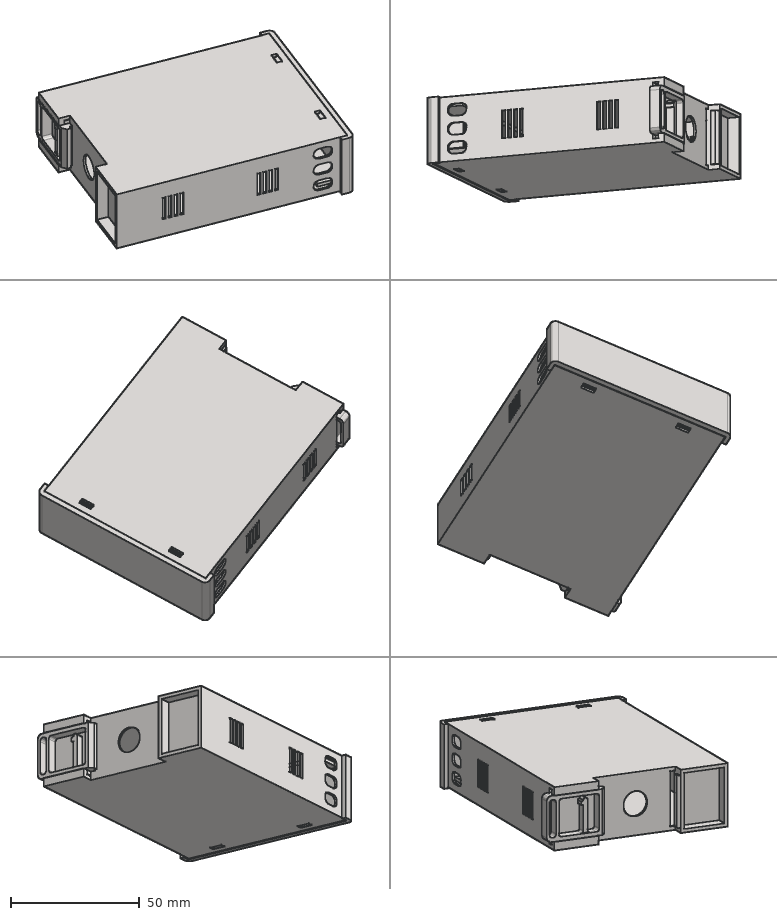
import cadquery as cq
import math


housing_width = 74.9
housing_height = 25.8
overall_length = 100.3
floor = 1.5
side_wall = 0.9
rail_wall = 0.9
half_width = housing_width / 2
mid_z = housing_height / 2

cover_thickness = 2.2
cover_lip_depth = 5.3
cover_lip_thickness = 1.8
cover_overhang = 1.9
cover_drop = 0.4
housing_length = overall_length - cover_thickness

tongue_inset = 4.3
tongue_thickness = 1.5
tongue_end_y = 87.3
snap_window_width = 5.4
snap_window_y = (93.0, 95.2)
snap_window_left_edges = (-23.8, 17.8)
snap_width = 4.7
snap_length = 1.5
snap_step = 0.3
snap_height = 1.3
cover_rib_x = -26.2
cover_rib_thickness = 1.5
cover_rib_end_y = 90.0
cover_rib_height = 10.2

foot_depth = 4.8
left_foot_width = 19.1
right_foot_width = 20.4
left_foot_end_x = left_foot_width - half_width
right_foot_start_x = half_width - right_foot_width
foot_wall = 1.5
rail_hole_diameter = 10.2
rail_hole_x = -0.2

hook_reach = 1.1
hook_y = (0.2, 1.4, 3.4)
hook_z = (1.9, 23.3)
hook_window_width = 2.3
hook_window_height = 22.5

slot_width = 1.4
slot_height = 11.0
slot_pitch = 2.5
slots_per_group = 4
slot_group_centers_y = (64.3, 24.0)
far_slot_shortening = 0.9
opening_length = 8.0
opening_height = 4.8
opening_pitch = 7.5
opening_y = 87.8

clip_front_y = 0.4
clip_height = 18.8
clip_head_reach = 3.1
clip_head_radius = 1.9
clip_flange_y = 2.5
clip_flange_height = 22.1
clip_flange_start = 3.0
channel_flange_height = 22.5
clip_body_end = 21.3
clip_nose_end = 22.6
clip_nose_y = (2.1, 3.8)
grip_slot_width = 2.8
grip_slot_x = -0.5
clip_window_x = (2.2, 19.6)
clip_window_height = 15.4
clip_window_radius = 1.2

arm_x = 14.0
arm_width = 1.9
arm_top_z = 19.4
arm_front_y = 1.3
arm_foot_radius = 0.8
arm_barb_reach = 0.8
arm_barb_z = (16.4, 18.7)


def block(x_range, y_range, z_range):
    """Box between the given limits."""
    size = [high - low for low, high in (x_range, y_range, z_range)]
    corner = (x_range[0], y_range[0], z_range[0])
    return cq.Workplane("XY").box(*size, centered=False).translate(corner)


def centered_z(height):
    """Z limits of a feature centred on the housing mid-height."""
    return (mid_z - height / 2, mid_z + height / 2)


def prism_along_z(points, z_range):
    """Polygon in X and Y, extruded between two heights."""
    bottom, top = z_range
    return cq.Workplane("XY", origin=(0, 0, bottom)).polyline(points).close().extrude(top - bottom)


def make_shell():
    full_x = (-half_width, half_width)
    inner_x = (side_wall - half_width, half_width - side_wall)
    shell = block(full_x, (foot_depth, housing_length), (0, housing_height))
    inner_y = (foot_depth + rail_wall, housing_length)
    cavity = block(inner_x, inner_y, (floor, housing_height - floor))
    return shell.cut(cavity)


def make_left_foot():
    foot_x = (-half_width, left_foot_end_x)
    foot = block(foot_x, (0, foot_depth), (0, housing_height))
    narrow_channel = block(foot_x, (0, foot_depth), centered_z(clip_height))
    wide_channel = block(foot_x, (clip_flange_y, foot_depth), centered_z(channel_flange_height))
    return foot.cut(narrow_channel).cut(wide_channel)


def make_right_foot():
    foot = block((right_foot_start_x, half_width), (0, foot_depth), (0, housing_height))
    pocket_x = (right_foot_start_x + foot_wall, half_width - foot_wall)
    pocket = block(pocket_x, (0, foot_depth), (foot_wall, housing_height - foot_wall))
    tip_y, nose_front_y, nose_back_y = hook_y
    nose_x = right_foot_start_x - hook_reach
    hook_outline = [
        (right_foot_start_x, tip_y),
        (nose_x, nose_front_y),
        (nose_x, nose_back_y),
        (right_foot_start_x, nose_back_y),
    ]
    return foot.cut(pocket).union(prism_along_z(hook_outline, hook_z))


def make_rail_wall_cuts():
    hook_window = block(
        (right_foot_start_x - hook_window_width, right_foot_start_x),
        (foot_depth, foot_depth + rail_wall),
        centered_z(hook_window_height),
    )
    round_hole = (
        cq.Workplane("XZ", origin=(rail_hole_x, foot_depth, mid_z))
        .circle(rail_hole_diameter / 2)
        .extrude(-rail_wall)
    )
    return hook_window.union(round_hole)


def make_vent_slots(wall_x, bottom_shortening):
    bottom, top = centered_z(slot_height)
    slots = cq.Workplane("XY")
    for group_y in slot_group_centers_y:
        for index in range(slots_per_group):
            y = group_y + (index - (slots_per_group - 1) / 2) * slot_pitch
            slot_y = (y - slot_width / 2, y + slot_width / 2)
            slots = slots.add(block(wall_x, slot_y, (bottom + bottom_shortening, top)))
    return slots.combine()


def make_terminal_opening(wall_x, row):
    return (
        cq.Workplane("YZ", origin=(wall_x[0], opening_y, mid_z + row * opening_pitch))
        .slot2D(opening_length, opening_height)
        .extrude(side_wall)
    )


def make_side_wall_cuts():
    left_wall_x = (-half_width, side_wall - half_width)
    right_wall_x = (half_width - side_wall, half_width)
    cuts = make_vent_slots(left_wall_x, 0).union(make_vent_slots(right_wall_x, far_slot_shortening))
    for wall_x in (left_wall_x, right_wall_x):
        for row in (-1, 0, 1):
            cuts = cuts.union(make_terminal_opening(wall_x, row))
    return cuts


def make_snap_windows():
    windows = cq.Workplane("XY")
    for left in snap_window_left_edges:
        for z_range in ((0, floor), (housing_height - floor, housing_height)):
            windows = windows.add(block((left, left + snap_window_width), snap_window_y, z_range))
    return windows.combine()


def make_housing():
    body = make_shell().union(make_left_foot()).union(make_right_foot())
    return body.cut(make_rail_wall_cuts()).cut(make_side_wall_cuts()).cut(make_snap_windows())


def make_snap_tongue():
    """Upper tongue with its ramped snap hooks."""
    top_z = housing_height - floor
    tongue_x = (tongue_inset - half_width, half_width - tongue_inset)
    tongue = block(tongue_x, (tongue_end_y, housing_length), (top_z - tongue_thickness, top_z))
    back_y = snap_window_y[1]
    front_y = back_y - snap_length
    for left in snap_window_left_edges:
        outline = [
            (front_y, top_z),
            (front_y, top_z + snap_step),
            (back_y, top_z + snap_height),
            (back_y, top_z),
        ]
        ramp = (
            cq.Workplane("YZ", origin=(left + snap_window_width - snap_width, 0, 0))
            .polyline(outline)
            .close()
            .extrude(snap_width)
        )
        tongue = tongue.union(ramp)
    return tongue


def make_cover():
    outer = half_width + cover_overhang
    inner = outer - cover_lip_thickness
    z_range = (-cover_drop, housing_height)
    plate = block((-outer, outer), (overall_length - cover_lip_depth, overall_length), z_range)
    plate = plate.edges("|Z and >Y").fillet(cover_thickness)
    plate = plate.cut(block((-inner, inner), (overall_length - cover_lip_depth, housing_length), z_range))
    tongue = make_snap_tongue()
    lower_tongue = tongue.mirror("XY", (0, 0, mid_z))
    rib = block(
        (cover_rib_x, cover_rib_x + cover_rib_thickness),
        (cover_rib_end_y, housing_length),
        centered_z(cover_rib_height),
    )
    return plate.union(tongue).union(lower_tongue).union(rib)


def make_clip_body():
    nose_front_y, nose_back_y = clip_nose_y
    chamfer = nose_front_y - clip_front_y
    outline = [
        (-clip_head_reach, clip_front_y),
        (clip_nose_end - chamfer, clip_front_y),
        (clip_nose_end, nose_front_y),
        (clip_nose_end, nose_back_y),
        (clip_body_end, nose_back_y),
        (clip_body_end, foot_depth),
        (-clip_head_reach, foot_depth),
    ]
    body = prism_along_z(outline, centered_z(clip_height))
    body = body.edges("|Y and <X").fillet(clip_head_radius)
    flange = block(
        (clip_flange_start, left_foot_width),
        (clip_flange_y, foot_depth),
        centered_z(clip_flange_height),
    )
    return body.union(flange)


def make_clip_openings():
    grip_slot = (
        cq.Workplane("XZ", origin=(grip_slot_x, 0, mid_z))
        .slot2D(clip_window_height, grip_slot_width, 90)
        .extrude(-foot_depth)
    )
    window = block(clip_window_x, (0, foot_depth), centered_z(clip_window_height))
    return grip_slot.union(window.edges("|Y").fillet(clip_window_radius))


def make_spring_arm():
    base_z = mid_z - clip_window_height / 2
    left = arm_x - arm_width / 2
    right = arm_x + arm_width / 2
    shoulder_z = arm_top_z - arm_width / 2
    barb_bottom, barb_top = arm_barb_z
    foot = arm_foot_radius
    arc_middle = foot * (1 - math.sqrt(0.5))
    return (
        cq.Workplane("XZ", origin=(0, arm_front_y, 0))
        .moveTo(left - foot, base_z)
        .threePointArc((left - arc_middle, base_z + arc_middle), (left, base_z + foot))
        .lineTo(left, barb_bottom)
        .lineTo(left - arm_barb_reach, barb_bottom)
        .lineTo(left - arm_barb_reach, barb_top - arm_barb_reach)
        .lineTo(left, shoulder_z)
        .threePointArc((arm_x, arm_top_z), (right, shoulder_z))
        .lineTo(right, base_z + foot)
        .threePointArc((right + arc_middle, base_z + arc_middle), (right + foot, base_z))
        .close()
        .extrude(arm_front_y - foot_depth)
    )


def make_clip():
    """Rail clip, modelled from the left face of the housing and then moved onto it."""
    clip = make_clip_body().cut(make_clip_openings()).union(make_spring_arm())
    return clip.translate((-half_width, 0, 0))


housing = make_housing()
cover = make_cover()
rail_clip = make_clip()

result = cq.Compound.makeCompound([housing.val(), cover.val(), rail_clip.val()])